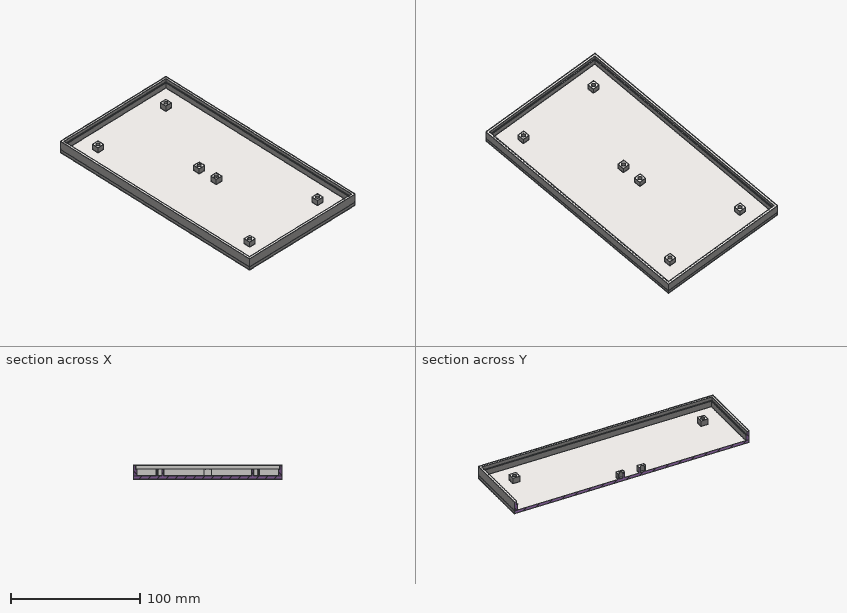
import cadquery as cq

LENGTH = 208.0
WIDTH = 115.5
HEIGHT = 11.0

RIM_WALL = 2.0
LEDGE_WIDTH = 1.0
LOWER_WALL = RIM_WALL + LEDGE_WIDTH
LEDGE_DEPTH = LOWER_WALL
BASE_THICKNESS = LOWER_WALL
FRAME_HEIGHT = HEIGHT - BASE_THICKNESS

BOSS_SIDE = 6.0
BOSS_HEIGHT = 5.0
BOSS_HOLE_DIAMETER = 3.1
CORNER_BOSS_X = 83.5
CORNER_BOSS_Y = 37.0
CENTER_BOSS_X = 9.4

CORNER_BOSS_CENTERS = [
    (x, y)
    for x in (-CORNER_BOSS_X, CORNER_BOSS_X)
    for y in (-CORNER_BOSS_Y, CORNER_BOSS_Y)
]
BOSS_CENTERS = CORNER_BOSS_CENTERS + [(-CENTER_BOSS_X, 0), (CENTER_BOSS_X, 0)]


def block(inset, bottom, height):
    """Block whose sides lie `inset` inside the outer envelope."""
    return (
        cq.Workplane("XY", origin=(0, 0, bottom))
        .rect(LENGTH - 2 * inset, WIDTH - 2 * inset)
        .extrude(height)
    )


def make_base():
    """Flat plate carrying the drilled bosses."""
    floor = cq.Workplane("XY", origin=(0, 0, BASE_THICKNESS))
    bosses = floor.pushPoints(BOSS_CENTERS).rect(BOSS_SIDE, BOSS_SIDE).extrude(BOSS_HEIGHT)
    holes = floor.pushPoints(BOSS_CENTERS).circle(BOSS_HOLE_DIAMETER / 2).extrude(BOSS_HEIGHT)
    return block(0, 0, BASE_THICKNESS).union(bosses).cut(holes)


def make_frame():
    """Rectangular frame with a ledge running around its inner side."""
    opening = block(LOWER_WALL, BASE_THICKNESS, FRAME_HEIGHT)
    rabbet = block(RIM_WALL, HEIGHT - LEDGE_DEPTH, LEDGE_DEPTH)
    return block(0, BASE_THICKNESS, FRAME_HEIGHT).cut(opening).cut(rabbet)


base = make_base()
frame = make_frame()
result = cq.Compound.makeCompound([base.val(), frame.val()])